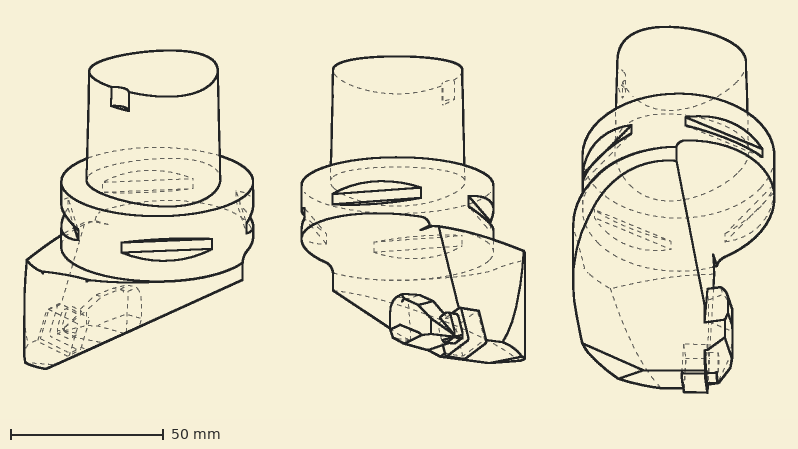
import cadquery as cq
import math


shank_height = 38.2
shank_base_radius = 21.9
shank_top_radius = 21.1
lobe_height = 1.4
profile_points = 36
notch_radius = 4.7
notch_center_y = -22.5
notch_depth = 6.6

flange_radius = 63.0 / 2
flange_height = 22.9
slot_floor_radius = 27.8
slot_center_z = -11.9
slot_floor_width = 3.5
slot_mouth_width = 7.7
slot_count = 4

head_side_y = -36.3
head_wall_y = 6.1
head_wall_top_z = -20.3
relief_angle = 5
relief_fillet = 3.2
shoulder_angle = 15
side_chamfer_slope = 4
side_chamfer_drop = 4.5

flank_point = (-33.8, 4.6, -23.2)
flank_normal = (-1, -0.1, 0.26)
underside_point = (-28.9, 0, -66.0)
underside_normal = (0.62, 0, -1)
lower_facet_point = (-28.9, -16.4, -66.1)
lower_facet_normal = (0.09, -0.3, -1)

insert_size = 12.3
insert_thickness = 7.7
insert_corner_radius = 0.8
end_overhang = 1.4
insert_corner = (-45.2, -0.2, -64.7)
insert_tilt = 15
rake_slope_x = 0.17
rake_slope_z = 0.07

clamp_front_point = (-42.2, 4.2, -62.5)
clamp_front_normal = (-1, 0, 0.9)
clamp_brow_point = (-30.6, 8.4, -49.8)
clamp_brow_normal = (-0.6, 0.2, 1)
clamp_back_x = -17.0
clamp_bottom_z = -66.7
clamp_root_y = -2.1
finger_inset = 2.1
finger_length = 9.5
finger_width = 6.4
finger_height = 3.4
finger_corner_radius = 2.1

REACH = 127.1

tilt_cos = math.cos(math.radians(insert_tilt))
tilt_sin = math.sin(math.radians(insert_tilt))
rake_normal = (-rake_slope_x, 1, -rake_slope_z)
insert_edge = (tilt_cos, rake_slope_x * tilt_cos - rake_slope_z * tilt_sin, -tilt_sin)
insert_plane = cq.Plane(insert_corner, insert_edge, rake_normal)


def outside(point, normal):
    """Block of material beyond a plane, on the side its normal points to."""
    plane = cq.Plane(origin=point, normal=normal)
    return cq.Workplane(plane).rect(2 * REACH, 2 * REACH).extrude(REACH)


def lobed_profile(radius):
    """Points of a three-lobed curve with one lobe toward +Y."""
    angles = [2 * math.pi * i / profile_points for i in range(profile_points)]
    return [
        (
            radius * math.cos(a) - lobe_height * math.sin(2 * a),
            radius * math.sin(a) - lobe_height * math.cos(2 * a),
        )
        for a in angles
    ]


def make_shank():
    shank = (
        cq.Workplane("XY")
        .spline(lobed_profile(shank_base_radius), periodic=True).close()
        .workplane(offset=shank_height)
        .spline(lobed_profile(shank_top_radius), periodic=True).close()
        .loft(ruled=True)
    )
    notch = (
        cq.Workplane("XY", origin=(0, notch_center_y, shank_height - notch_depth))
        .circle(notch_radius)
        .extrude(notch_depth)
    )
    return shank.cut(notch)


def make_gripper_slot(angle):
    """Straight trapezoidal slot across the flange rim."""
    depth = flange_radius - slot_floor_radius
    slope = (slot_mouth_width - slot_floor_width) / 2 / depth
    outer_half = slot_floor_width / 2 + 2 * depth * slope
    outer_radius = slot_floor_radius + 2 * depth
    return (
        cq.Workplane("XZ", origin=(0, 0, slot_center_z))
        .moveTo(slot_floor_radius, -slot_floor_width / 2)
        .lineTo(outer_radius, -outer_half)
        .lineTo(outer_radius, outer_half)
        .lineTo(slot_floor_radius, slot_floor_width / 2)
        .close()
        .extrude(flange_radius, both=True)
        .rotate((0, 0, 0), (0, 0, 1), angle)
    )


def make_flange():
    flange = cq.Workplane("XY").circle(flange_radius).extrude(-flange_height)
    for i in range(slot_count):
        flange = flange.cut(make_gripper_slot((i + 0.5) * 360 / slot_count))
    return flange


def make_wall_relief():
    """Space behind the head wall, with a rounded corner under the flange."""
    rise = REACH * math.tan(math.radians(relief_angle))
    return (
        cq.Workplane("YZ")
        .moveTo(head_wall_y, head_wall_top_z)
        .lineTo(head_wall_y + REACH, head_wall_top_z + rise)
        .lineTo(head_wall_y + REACH, -REACH)
        .lineTo(head_wall_y, -REACH)
        .close()
        .extrude(REACH, both=True)
        .edges(cq.selectors.NearestToPointSelector((0, head_wall_y, head_wall_top_z)))
        .fillet(relief_fillet)
    )


def make_head_blank():
    """Full-height head outline under a conical shoulder, before trimming."""
    blank = (
        cq.Workplane("XY")
        .moveTo(-45.0, 15.9)
        .lineTo(-45.0, -3.2)
        .threePointArc((-36.4, -24.3), (-22.2, -35.2))
        .threePointArc((-19.2, -36.0), (-15.9, head_side_y))
        .lineTo(-9.6, head_side_y)
        .threePointArc((5.5, -33.8), (18.3, -26.2))
        .lineTo(20.9, -23.9)
        .threePointArc((flange_radius, -2.3), (27.0, 15.9))
        .close()
        .extrude(-REACH)
    )
    shoulder_drop = REACH * math.tan(math.radians(shoulder_angle))
    shoulder = (
        cq.Workplane("XZ")
        .moveTo(0, -flange_height)
        .lineTo(flange_radius, -flange_height)
        .lineTo(flange_radius + REACH, -flange_height - shoulder_drop)
        .lineTo(flange_radius + REACH, -REACH)
        .lineTo(0, -REACH)
        .close()
        .revolve(360, (0, 0, 0), (0, 1, 0))
    )
    chamfer_point = (0, head_side_y, -flange_height - side_chamfer_drop)
    chamfer = outside(chamfer_point, (0, -side_chamfer_slope, 1))
    return blank.intersect(shoulder).cut(chamfer)


def make_clamp():
    """Clamp with a rounded outline end-on, a sloping front and a bevelled brow."""
    plan = (
        cq.Workplane("XY")
        .polyline([
            (-42.2, clamp_root_y), (-42.2, 4.2), (-37.1, 9.3), (-32.2, 11.1),
            (-23.3, 12.9), (clamp_back_x, 12.9), (clamp_back_x, clamp_root_y),
        ])
        .close()
        .extrude(clamp_bottom_z)
    )
    end_outline = (
        cq.Workplane("YZ")
        .moveTo(clamp_root_y, -44.3)
        .lineTo(10.4, -44.3)
        .threePointArc((12.3, -46.8), (12.9, -49.8))
        .lineTo(12.9, -55.9)
        .lineTo(10.7, -61.8)
        .lineTo(4.2, -63.6)
        .lineTo(clamp_root_y, -63.6)
        .close()
        .extrude(-REACH)
    )
    clamp = plan.intersect(end_outline)
    clamp = clamp.cut(outside(clamp_front_point, clamp_front_normal))
    return clamp.cut(outside(clamp_brow_point, clamp_brow_normal))


def make_clamp_finger():
    """Rounded pad of the clamp that bears on the insert's top face."""
    return (
        cq.Workplane(insert_plane)
        .center(finger_inset + finger_width / 2, -finger_inset - finger_length / 2)
        .rect(finger_width, finger_length)
        .extrude(finger_height)
        .edges(cq.selectors.ParallelDirSelector(insert_plane.zDir))
        .fillet(finger_corner_radius)
    )


def make_insert():
    return (
        cq.Workplane(insert_plane)
        .center(insert_size / 2, -insert_size / 2)
        .rect(insert_size, insert_size)
        .extrude(-insert_thickness)
        .edges(cq.selectors.ParallelDirSelector(insert_plane.zDir))
        .fillet(insert_corner_radius)
    )


def make_head():
    head = make_head_blank()
    head = head.cut(make_wall_relief())
    head = head.cut(outside(insert_corner, rake_normal))
    head = head.union(make_clamp())
    head = head.cut(outside(flank_point, flank_normal))
    head = head.cut(outside(underside_point, underside_normal))
    head = head.cut(outside(lower_facet_point, lower_facet_normal))
    end_point = insert_plane.toWorldCoords((0, -end_overhang, 0))
    head = head.cut(outside(end_point, insert_plane.yDir))
    return head.union(make_clamp_finger())


def make_holder(insert):
    flange = make_flange().cut(make_wall_relief())
    holder = flange.union(make_shank()).union(make_head())
    return holder.cut(insert)


cutting_insert = make_insert()
tool_holder = make_holder(cutting_insert)

result = cq.Compound.makeCompound([tool_holder.val(), cutting_insert.val()])